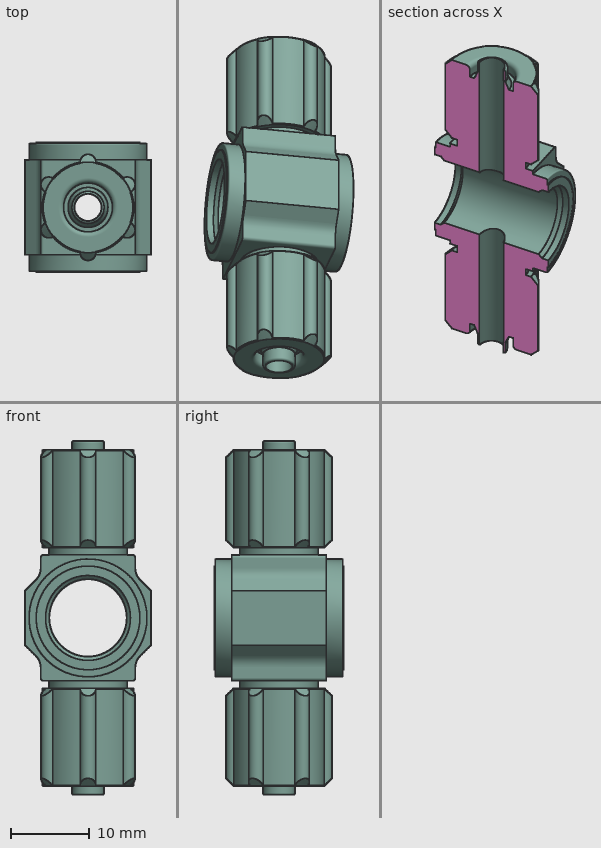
import cadquery as cq
import math

total_height = 45.0
body_size = 16.0
total_depth = 16.5

block_depth = 12.05
neck_width = 12.05
neck_edge_radius = 0.4
flat_half_height = 3.45
shoulder_radius = 2.0
shoulder_angle = math.radians(45)

collar_diameter = 15.0
collar_edge_radius = 0.2
ring_diameter = 13.2
ring_height = 0.15
bore_diameter = 9.8
counterbore_diameter = 10.8
counterbore_depth = 0.9

stem_diameter = 10.0
nut_bottom = 8.9
nut_top = 21.38
nut_diameter = 11.65
nut_edge_chamfer = 0.15
rib_radius = 1.0
rib_tip_radius = 6.75
rib_count = 6
rib_chamfer = 1.0
nut_hole_diameter = 6.2
nut_hole_edge_radius = 0.65

tube_diameter = 4.1
tube_edge_radius = 0.25
tube_bore_diameter = 3.4
barb_diameter = 5.1
barb_top = 20.8
nut_hole_floor = 19.65

half_body = body_size / 2
half_height = total_height / 2


def mirror_copies(shape, plane):
    return shape.union(shape.mirror(plane))


def make_body():
    """Block with a narrower neck at each end and curved shoulders."""
    half_neck = neck_width / 2
    arc_dx = shoulder_radius * (1 - math.cos(shoulder_angle))
    arc_dz = shoulder_radius * math.sin(shoulder_angle)
    slope_dx = half_body - half_neck - arc_dx
    arc_end_z = flat_half_height + slope_dx * math.tan(shoulder_angle)
    arc_start_z = arc_end_z + arc_dz
    arc_mid = (
        half_neck + shoulder_radius * (1 - math.cos(shoulder_angle / 2)),
        arc_start_z - shoulder_radius * math.sin(shoulder_angle / 2),
    )
    quarter = (
        cq.Workplane("XZ")
        .lineTo(half_body, 0)
        .lineTo(half_body, flat_half_height)
        .lineTo(half_neck + arc_dx, arc_end_z)
        .threePointArc(arc_mid, (half_neck, arc_start_z))
        .lineTo(half_neck, half_body)
        .lineTo(0, half_body)
        .close()
        .extrude(block_depth / 2, both=True)
    )
    corner = cq.selectors.NearestToPointSelector((half_neck, 0, half_body))
    quarter = quarter.edges("|Y").edges(corner).fillet(neck_edge_radius)
    return mirror_copies(mirror_copies(quarter, "YZ"), "XY")


def make_collars():
    """Round collars on both Y faces, each with a thin raised ring."""
    collar_length = total_depth - 2 * ring_height
    collar = (
        cq.Workplane("XZ")
        .circle(collar_diameter / 2)
        .extrude(collar_length / 2, both=True)
        .edges()
        .fillet(collar_edge_radius)
    )
    ring = cq.Workplane("XZ").circle(ring_diameter / 2).extrude(total_depth / 2, both=True)
    return collar.union(ring)


def make_main_bore():
    """Through bore along Y, widened at both ends with a 45 degree lead-in."""
    bore_radius = bore_diameter / 2
    wide_radius = counterbore_diameter / 2
    wide_start = total_depth / 2 - counterbore_depth
    half = (
        cq.Workplane("XY")
        .lineTo(bore_radius, 0)
        .lineTo(bore_radius, wide_start - (wide_radius - bore_radius))
        .lineTo(wide_radius, wide_start)
        .lineTo(wide_radius, total_depth / 2)
        .lineTo(0, total_depth / 2)
        .close()
        .revolve(360, (0, 0, 0), (0, 1, 0))
    )
    return mirror_copies(half, "XZ")


def make_ribs():
    """Round grip ribs, bevelled at both ends by a common turned envelope."""
    height = nut_top - nut_bottom
    ribs = (
        cq.Workplane("XY")
        .workplane(offset=nut_bottom)
        .polarArray(rib_tip_radius - rib_radius, 90, 360, rib_count)
        .circle(rib_radius)
        .extrude(height)
    )
    envelope = (
        cq.Workplane("XY")
        .workplane(offset=nut_bottom)
        .circle(rib_tip_radius)
        .extrude(height)
        .edges()
        .chamfer(rib_chamfer)
    )
    return ribs.intersect(envelope)


def make_nut():
    """Ribbed nut with a rounded-mouth hole in its outer end."""
    nut = (
        cq.Workplane("XY")
        .workplane(offset=nut_bottom)
        .circle(nut_diameter / 2)
        .extrude(nut_top - nut_bottom)
        .edges()
        .chamfer(nut_edge_chamfer)
    )
    nut = (
        nut.faces(">Z")
        .workplane()
        .hole(nut_hole_diameter, nut_top - nut_hole_floor)
        .faces(">Z")
        .edges("%CIRCLE")
        .edges(cq.selectors.RadiusNthSelector(0))
        .fillet(nut_hole_edge_radius)
    )
    return nut.union(make_ribs())


def make_tube():
    """Hose tube rising from a conical barb on the nut hole floor."""
    tube_radius = tube_diameter / 2
    tube = (
        cq.Workplane("XZ")
        .moveTo(0, nut_bottom)
        .lineTo(barb_diameter / 2, nut_bottom)
        .lineTo(barb_diameter / 2, nut_hole_floor)
        .lineTo(tube_radius, barb_top)
        .lineTo(tube_radius, half_height)
        .lineTo(0, half_height)
        .close()
        .revolve(360, (0, 0, 0), (0, 1, 0))
    )
    return tube.faces(">Z").edges().fillet(tube_edge_radius)


stem = cq.Workplane("XY").circle(stem_diameter / 2).extrude(nut_bottom)
fitting = stem.union(make_nut()).union(make_tube())
tube_bore = (
    cq.Workplane("XY").circle(tube_bore_diameter / 2).extrude(half_height, both=True)
)

result = (
    make_body()
    .union(make_collars())
    .union(mirror_copies(fitting, "XY"))
    .cut(make_main_bore())
    .cut(tube_bore)
)